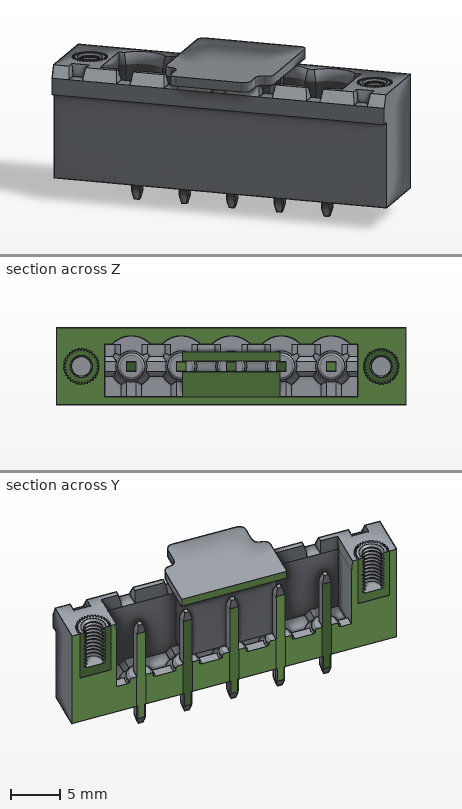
import cadquery as cq
import math

housing_length = 35.55
position_count = 7
pitch = housing_length / position_count
housing_height = 12.02
back_y = 3.95
front_y = -3.9

lip_y = -4.62
lip_bottom_z = 9.0
chamfer_depth = 0.55

rim_height = 1.28
rim_z = housing_height - rim_height
chamfer_y = lip_y + chamfer_depth

cavity_half_length = 12.85
cavity_back_y = 2.25
cavity_front_y = -3.05
cavity_end_draft = 0.1
cavity_back_draft = 0.2
cavity_front_draft = 0.5
floor_z = 3.5
pocket_depth = 0.55
pocket_z = floor_z - pocket_depth

relief_y = 0.43
relief_radius = 2.65
relief_top_radius = 3.0

slot_width = 1.42
slot_top_width = 1.8
slot_back_y = -3.27
slot_back_draft = 0.2

flank = 0.55
narrow_rib_half_width = 0.5
wide_rib_half_width = 1.1
boss_diameter = 3.15
boss_top_diameter = 2.77
boss_height = 0.6
boss_foot_height = 0.1
boss_edge_radius = 0.25

pin_width = 1.0
pin_edge_chamfer = 0.15
pin_bottom_z = -2.55
pin_lower_taper_z = -1.6
pin_upper_taper_z = 9.8
pin_top_z = 10.8
pin_lower_tip_width = 0.5
pin_upper_tip_width = 0.5

insert_length = 6.0
knurl_count = 32
knurl_root_diameter = 3.15
knurl_tip_diameter = 3.6
thread_pitch = 0.45
thread_crest = 0.1
thread_turns = 10
thread_minor_diameter = 2.0
thread_major_diameter = 2.55

plate_thickness = 1.0
plate_half_width = 5.75
plate_back_y = 6.83
plate_shoulder_y = -4.65
tab_half_width = 4.25
tab_front_y = -7.68
plate_corner_radius = 0.75
leg_half_length = 4.98
leg_back_y = 1.5
leg_slot_half_width = 0.55
leg_bottom_z = floor_z + boss_height

all_positions = [(i - (position_count - 1) / 2) * pitch for i in range(position_count)]
insert_positions = [all_positions[0], all_positions[-1]]
pin_positions = all_positions[1:-1]


def rectangle_loft(low, low_z, high, high_z):
    """Solid between two rectangles, each given as (x_min, x_max, y_min, y_max)."""
    wires = []
    for (x_min, x_max, y_min, y_max), z in ((low, low_z), (high, high_z)):
        corners = [(x_min, y_min, z), (x_max, y_min, z), (x_max, y_max, z), (x_min, y_max, z)]
        wires.append(cq.Wire.makePolygon([cq.Vector(*c) for c in corners], close=True))
    return cq.Workplane(obj=cq.Solid.makeLoft(wires, True))


def square_around(half_width, x):
    return (x - half_width, x + half_width, -half_width, half_width)


def cone(low_radius, high_radius, height, x, y, z):
    return cq.Workplane(obj=cq.Solid.makeCone(low_radius, high_radius, height, cq.Vector(x, y, z)))


def make_block():
    profile = [
        (back_y, 0),
        (front_y, 0),
        (front_y, lip_bottom_z),
        (lip_y, lip_bottom_z),
        (lip_y, rim_z),
        (chamfer_y, housing_height),
        (back_y, housing_height),
    ]
    return cq.Workplane("YZ").polyline(profile).close().extrude(housing_length / 2, both=True)


def make_cavity():
    """Straight well down to the pocket bottom, with a drafted rim."""
    low = (-cavity_half_length, cavity_half_length, cavity_front_y, cavity_back_y)
    high_half_length = cavity_half_length + cavity_end_draft
    high = (
        -high_half_length,
        high_half_length,
        cavity_front_y - cavity_front_draft,
        cavity_back_y + cavity_back_draft,
    )
    well = rectangle_loft(low, pocket_z, low, rim_z)
    return well.union(rectangle_loft(low, rim_z, high, housing_height))


def make_relief(x):
    shaft = cq.Workplane(origin=(x, relief_y, floor_z)).circle(relief_radius).extrude(rim_z - floor_z)
    relief = shaft.union(cone(relief_radius, relief_top_radius, rim_height, x, relief_y, rim_z))
    span = (x - relief_top_radius, x + relief_top_radius, cavity_back_y, back_y)
    return relief.intersect(rectangle_loft(span, floor_z, span, housing_height))


def make_slot(x, back, back_draft):
    low = (x - slot_width / 2, x + slot_width / 2, lip_y, back)
    high = (x - slot_top_width / 2, x + slot_top_width / 2, lip_y, back + back_draft)
    return rectangle_loft(low, rim_z, high, housing_height)


def make_rib_along_x():
    half_base = narrow_rib_half_width + flank
    base = (-cavity_half_length, cavity_half_length, -half_base, half_base)
    top = (-cavity_half_length, cavity_half_length, -narrow_rib_half_width, narrow_rib_half_width)
    return rectangle_loft(base, pocket_z, top, floor_z)


def make_rib_along_y(x, half_width, y_min, y_max):
    half_base = half_width + flank
    base = (x - half_base, x + half_base, y_min, y_max)
    top = (x - half_width, x + half_width, y_min, y_max)
    return rectangle_loft(base, pocket_z, top, floor_z)


def make_boss(x):
    base_radius = boss_diameter / 2
    base = cone(base_radius + flank, base_radius, pocket_depth, x, 0, pocket_z)
    foot = cone(base_radius, boss_top_diameter / 2, boss_foot_height, x, 0, floor_z)
    boss = cq.Workplane(origin=(x, 0, pocket_z)).circle(boss_top_diameter / 2)
    boss = boss.extrude(floor_z + boss_height - pocket_z)
    return base.union(foot).union(boss.faces(">Z").edges().fillet(boss_edge_radius))


def make_housing():
    housing = make_block().cut(make_cavity())
    for x in pin_positions:
        housing = housing.cut(make_relief(x))
        housing = housing.cut(make_slot(x, cavity_front_y, 0))
    for x in insert_positions:
        housing = housing.cut(make_slot(x, slot_back_y, slot_back_draft))
    housing = housing.union(make_rib_along_x())
    for x in pin_positions:
        housing = housing.union(make_rib_along_y(x, narrow_rib_half_width, cavity_front_y, 0))
        housing = housing.union(make_rib_along_y(x, wide_rib_half_width, 0, cavity_back_y))
        housing = housing.union(make_boss(x))
    for x in pin_positions:
        housing = housing.cut(make_pin(x))
    for x in insert_positions:
        housing = housing.cut(make_knurled_blank(x))
    return housing


def make_pin(x):
    half_width = pin_width / 2
    tail_blank = (
        cq.Workplane(origin=(x, 0, pin_bottom_z))
        .rect(pin_width, pin_width)
        .extrude(-pin_bottom_z)
        .edges("|Z")
        .chamfer(pin_edge_chamfer)
    )
    tail_taper = rectangle_loft(
        square_around(pin_lower_tip_width / 2, x), pin_bottom_z,
        square_around(half_width, x), pin_lower_taper_z,
    )
    tail_shaft = rectangle_loft(
        square_around(half_width, x), pin_lower_taper_z,
        square_around(half_width, x), 0,
    )
    tail = tail_blank.intersect(tail_taper.union(tail_shaft))
    middle = rectangle_loft(
        square_around(half_width, x), 0,
        square_around(half_width, x), pin_upper_taper_z,
    )
    upper = rectangle_loft(
        square_around(half_width, x), pin_upper_taper_z,
        square_around(pin_upper_tip_width / 2, x), pin_top_z,
    )
    return tail.union(middle).union(upper)


def make_knurled_blank(x):
    bottom_z = housing_height - insert_length
    outline = []
    points_per_tooth = ("root", "root", "tip", "tip")
    point_count = knurl_count * len(points_per_tooth)
    for i in range(point_count):
        at_tip = points_per_tooth[i % len(points_per_tooth)] == "tip"
        radius = (knurl_tip_diameter if at_tip else knurl_root_diameter) / 2
        angle = 2 * math.pi * i / point_count
        outline.append((x + radius * math.cos(angle), radius * math.sin(angle)))
    return cq.Workplane(origin=(0, 0, bottom_z)).polyline(outline).close().extrude(insert_length)


def make_insert(x):
    """Knurled sleeve with a blind hole whose thread is a stack of V-shaped ring grooves."""
    minor_radius = thread_minor_diameter / 2
    major_radius = thread_major_diameter / 2
    bore = [(0, housing_height), (major_radius, housing_height)]
    for turn in range(thread_turns):
        groove_top = housing_height - turn * thread_pitch
        bore.append((minor_radius, groove_top - (thread_pitch - thread_crest) / 2))
        bore.append((minor_radius, groove_top - (thread_pitch + thread_crest) / 2))
        bore.append((major_radius, groove_top - thread_pitch))
    bore.append((minor_radius, bore[-1][1] - thread_pitch / 2))
    bore.append((0, bore[-1][1]))
    hole = cq.Workplane("XZ").polyline(bore).close().revolve(360, (0, 0), (0, 1))
    return make_knurled_blank(x).cut(hole.translate((x, 0, 0)))


def make_plate():
    r = plate_corner_radius
    half = (
        cq.Workplane(origin=(0, 0, housing_height))
        .moveTo(0, plate_back_y)
        .lineTo(plate_half_width - r, plate_back_y)
        .radiusArc((plate_half_width, plate_back_y - r), r)
        .lineTo(plate_half_width, plate_shoulder_y + r)
        .radiusArc((plate_half_width - r, plate_shoulder_y), r)
        .radiusArc((tab_half_width, plate_shoulder_y - r), -r)
        .lineTo(tab_half_width, tab_front_y + r)
        .radiusArc((tab_half_width - r, tab_front_y), r)
        .lineTo(0, tab_front_y)
    )
    return half.mirrorY().extrude(plate_thickness)


def make_leg(y_min, y_max):
    footprint = (-leg_half_length, leg_half_length, y_min, y_max)
    return rectangle_loft(footprint, leg_bottom_z, footprint, housing_height)


def make_cover():
    front_leg = make_leg(cavity_front_y, -leg_slot_half_width)
    back_leg = make_leg(leg_slot_half_width, leg_back_y)
    return make_plate().union(front_leg).union(back_leg)


pins = [make_pin(x) for x in pin_positions]
inserts = [make_insert(x) for x in insert_positions]
housing = make_housing()
cover = make_cover()

result = cq.Compound.makeCompound(
    [housing.val(), cover.val(), *[pin.val() for pin in pins], *[insert.val() for insert in inserts]]
)